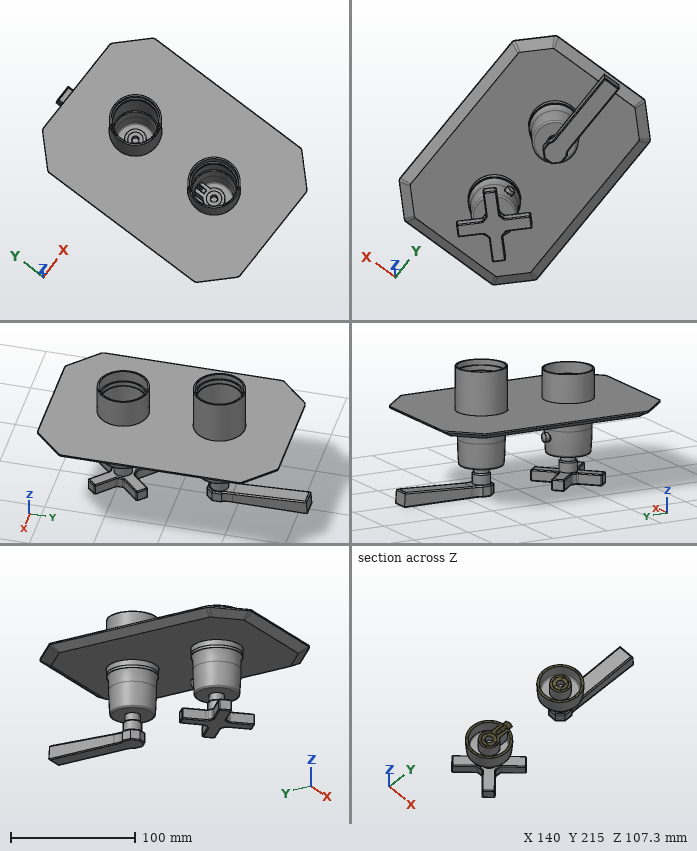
import cadquery as cq
import math


OVERALL_LENGTH = 215.0
PLATE_WIDTH = 140.0
PLATE_LENGTH = 200.0
PLATE_THICKNESS = 6.0
PLATE_CORNER_CUT = 25.0
PLATE_CORNER_RADIUS = 4.3
PLATE_BOTTOM_CORNER_RADIUS = 2.1
PLATE_RIM = 1.3
PLATE_BEVEL_INSET = 8.5

VALVE_OFFSET = 40.0
LEVER_VALVE_Y = VALVE_OFFSET
CROSS_VALVE_Y = -VALVE_OFFSET

SLEEVE_RADIUS = 21.0
SLEEVE_CLEARANCE = 0.2
SLEEVE_BOTTOM = -10.5
SLEEVE_BORE_RADIUS = 19.1
SLEEVE_MOUTH_RADIUS = 19.8
SLEEVE_LIP_RADIUS = 18.5
SLEEVE_LIP_HEIGHT = 4.3
LEVER_SLEEVE_TOP = 36.3
LEVER_MOUTH_DEPTH = 4.5
CROSS_SLEEVE_TOP = 24.0
CROSS_MOUTH_DEPTH = 9.5

SKIRT_FLANGE_BOTTOM = -12.7
SKIRT_NECK_RADIUS = 20.6
SKIRT_FLARE_DIRECTION = (-0.4, -1.0)
SKIRT_WAIST_Z = -24.0
SKIRT_WAIST_RADIUS = 19.3
SKIRT_BASE_RADIUS = 18.3
SKIRT_BOTTOM = -46.0
SKIRT_BOTTOM_FILLET = 1.5
SKIRT_FLOOR = 3.2
SKIRT_FLOOR_Z = SKIRT_BOTTOM + SKIRT_FLOOR
SKIRT_TOP_BORE = 18.0
SKIRT_WAIST_BORE = 17.0
SKIRT_FLOOR_BORE = 16.3
SKIRT_FLOOR_FILLET = 0.9
BOSS_RADIUS = 8.8
BOSS_TOP = -31.0

STEM_RADIUS = 6.2
STEM_COLLAR_RADIUS = 7.5
STEM_COLLAR_TOP = -52.0
STEM_COLLAR_CHAMFER = 1.0
STEM_HOLE_RADIUS = 3.0
STEM_HOLE_DEPTH = 6.5

HANDLE_TOP = -61.2
HANDLE_BOTTOM = -71.0
HANDLE_HEIGHT = HANDLE_TOP - HANDLE_BOTTOM
HANDLE_CHAMFER = 0.9
LEVER_TOP_CHAMFER = 1.0
HUB_SIDES = 8
CROSS_HUB_ACROSS_FLATS = 20.6
CROSS_TURN = 45
ARM_WIDTH = 10.7
ARM_REACH = 30.0
ARM_ROOT_FILLET = 2.1
LEVER_HUB_ACROSS_FLATS = 18.7
LEVER_WIDTH = 14.8
LEVER_REACH = OVERALL_LENGTH - PLATE_LENGTH / 2 - LEVER_VALVE_Y
LEVER_BLEND_Y = 13.0
LEVER_BLEND_DIRECTION = (-1.0, -0.5)
LEVER_RISE = 2.8
LEVER_TIP_LEAN = 0.9

BUTTON_Z = -31.0
BUTTON_RADIUS = 3.9
BUTTON_SEAT_Y = 18.0
BUTTON_TIP_Y = 23.6
BUTTON_DOME_HEIGHT = 1.3
PIN_RADIUS = 1.7
COLLAR_START_Y = 12.2
COLLAR_LENGTH = 3.9
COLLAR_RECESS = 1.5
COLLAR_RECESS_DEPTH = 0.9
GUIDE_WIDTH = 9.7


def at_valve(shape, valve_y):
    return shape.translate((0, valve_y, 0))


def cylinder(radius, bottom, top):
    return cq.Workplane("XY").workplane(offset=bottom).circle(radius).extrude(top - bottom)


def plate_slab(inset, corner_radius, thickness):
    return (
        cq.Workplane("XY")
        .rect(PLATE_WIDTH - 2 * inset, PLATE_LENGTH - 2 * inset)
        .extrude(-thickness)
        .edges("|Z")
        .chamfer(PLATE_CORNER_CUT - inset * (2 - math.sqrt(2)))
        .edges("|Z")
        .fillet(corner_radius)
    )


def make_plate():
    rim = plate_slab(0, PLATE_CORNER_RADIUS, PLATE_RIM)
    core = plate_slab(PLATE_BEVEL_INSET, PLATE_BOTTOM_CORNER_RADIUS, PLATE_THICKNESS)
    bevel_outlines = [rim.faces("<Z").val().outerWire(), core.faces("<Z").val().outerWire()]
    bevel = cq.Workplane(cq.Solid.makeLoft(bevel_outlines, True))
    plate = rim.union(bevel)
    for valve_y in (LEVER_VALVE_Y, CROSS_VALVE_Y):
        hole = cylinder(SLEEVE_RADIUS + SLEEVE_CLEARANCE, -PLATE_THICKNESS, 0)
        plate = plate.cut(at_valve(hole, valve_y))
    return plate


def make_sleeve(top, mouth_depth):
    lip_top = top - mouth_depth
    lip_bottom = lip_top - SLEEVE_LIP_HEIGHT
    return (
        cylinder(SLEEVE_RADIUS, SLEEVE_BOTTOM, top)
        .cut(cylinder(SLEEVE_MOUTH_RADIUS, lip_top, top))
        .cut(cylinder(SLEEVE_LIP_RADIUS, lip_bottom, lip_top))
        .cut(cylinder(SLEEVE_BORE_RADIUS, SLEEVE_BOTTOM, lip_bottom))
    )


def make_skirt():
    outside = (
        cq.Workplane("XZ")
        .moveTo(0, SLEEVE_BOTTOM)
        .lineTo(SLEEVE_RADIUS, SLEEVE_BOTTOM)
        .lineTo(SLEEVE_RADIUS, SKIRT_FLANGE_BOTTOM)
        .lineTo(SKIRT_NECK_RADIUS, SKIRT_FLANGE_BOTTOM)
        .spline(
            [(SKIRT_WAIST_RADIUS, SKIRT_WAIST_Z)],
            tangents=[SKIRT_FLARE_DIRECTION, (0, -1)],
            includeCurrent=True,
        )
        .tangentArcPoint((SKIRT_BASE_RADIUS, SKIRT_BOTTOM), relative=False)
        .lineTo(0, SKIRT_BOTTOM)
        .close()
        .revolve(360, (0, 0, 0), (0, 1, 0))
        .faces("<Z")
        .edges()
        .fillet(SKIRT_BOTTOM_FILLET)
    )
    cavity = (
        cq.Workplane("XZ")
        .moveTo(0, SLEEVE_BOTTOM)
        .lineTo(SKIRT_TOP_BORE, SLEEVE_BOTTOM)
        .lineTo(SKIRT_WAIST_BORE, SKIRT_WAIST_Z)
        .lineTo(SKIRT_FLOOR_BORE, SKIRT_FLOOR_Z)
        .lineTo(0, SKIRT_FLOOR_Z)
        .close()
        .revolve(360, (0, 0, 0), (0, 1, 0))
        .faces("<Z")
        .edges()
        .fillet(SKIRT_FLOOR_FILLET)
    )
    boss = cylinder(BOSS_RADIUS, SKIRT_FLOOR_Z, BOSS_TOP)
    stem_hole = cylinder(STEM_RADIUS, SKIRT_BOTTOM, BOSS_TOP)
    return outside.cut(cavity).union(boss).cut(stem_hole)


def make_button():
    shoulder_y = BUTTON_TIP_Y - BUTTON_DOME_HEIGHT
    dome_radius = (BUTTON_RADIUS**2 + BUTTON_DOME_HEIGHT**2) / (2 * BUTTON_DOME_HEIGHT)
    head = (
        cq.Workplane("XY")
        .workplane(offset=BUTTON_Z)
        .moveTo(0, BUTTON_SEAT_Y)
        .lineTo(BUTTON_RADIUS, BUTTON_SEAT_Y)
        .lineTo(BUTTON_RADIUS, shoulder_y)
        .radiusArc((0, BUTTON_TIP_Y), -dome_radius)
        .close()
        .revolve(360, (0, 0, 0), (0, 1, 0))
    )
    pin_plane = cq.Plane(origin=(0, BOSS_RADIUS, BUTTON_Z), xDir=(1, 0, 0), normal=(0, 1, 0))
    pin = cq.Workplane(pin_plane).circle(PIN_RADIUS).extrude(BUTTON_SEAT_Y - BOSS_RADIUS)
    collar_centre_y = COLLAR_START_Y + COLLAR_LENGTH / 2
    collar = (
        cq.Workplane("XY")
        .box(2 * PIN_RADIUS, COLLAR_LENGTH, 2 * PIN_RADIUS)
        .translate((0, collar_centre_y, BUTTON_Z))
    )
    recess = (
        cq.Workplane("XY")
        .workplane(offset=BUTTON_Z + PIN_RADIUS)
        .center(0, collar_centre_y)
        .rect(COLLAR_RECESS, COLLAR_RECESS)
        .extrude(-COLLAR_RECESS_DEPTH)
    )
    return head.union(pin).union(collar).cut(recess)


def make_button_skirt(button):
    guide_end = (SKIRT_FLOOR_BORE + SKIRT_BASE_RADIUS) / 2
    guide = (
        cq.Workplane("XY")
        .workplane(offset=SKIRT_FLOOR_Z)
        .center(0, guide_end / 2)
        .rect(GUIDE_WIDTH, guide_end)
        .extrude(BUTTON_Z - SKIRT_FLOOR_Z)
        .cut(cylinder(BOSS_RADIUS, SKIRT_FLOOR_Z, BUTTON_Z))
    )
    return make_skirt().union(guide).cut(button)


def make_stem():
    return (
        cylinder(STEM_COLLAR_RADIUS, HANDLE_TOP, STEM_COLLAR_TOP)
        .faces(">Z")
        .chamfer(STEM_COLLAR_CHAMFER)
        .union(cylinder(STEM_RADIUS, STEM_COLLAR_TOP, BOSS_TOP))
        .cut(cylinder(STEM_HOLE_RADIUS, BOSS_TOP - STEM_HOLE_DEPTH, BOSS_TOP))
    )


def is_arm_root(edge):
    return math.hypot(edge.Center().x, edge.Center().y) < ARM_REACH / 2


def make_cross():
    base = cq.Workplane("XY").workplane(offset=HANDLE_BOTTOM)
    hub_across_corners = CROSS_HUB_ACROSS_FLATS / math.cos(math.pi / HUB_SIDES)
    cross = base.polygon(HUB_SIDES, hub_across_corners).extrude(HANDLE_HEIGHT)
    half_side_angle = 180 / HUB_SIDES
    cross = cross.rotate((0, 0, 0), (0, 0, 1), half_side_angle)
    for length, width in ((2 * ARM_REACH, ARM_WIDTH), (ARM_WIDTH, 2 * ARM_REACH)):
        cross = cross.union(base.rect(length, width).extrude(HANDLE_HEIGHT))
    cross = cross.edges("|Z").filter(is_arm_root).fillet(ARM_ROOT_FILLET)
    cross = cross.faces("<X or >X or <Y or >Y").edges("|Z").chamfer(HANDLE_CHAMFER)
    cross = cross.faces("<Z or >Z").edges().chamfer(HANDLE_CHAMFER)
    return cross.rotate((0, 0, 0), (0, 0, 1), CROSS_TURN)


def make_lever():
    half_flats = LEVER_HUB_ACROSS_FLATS / 2
    half_side = half_flats * math.tan(math.pi / HUB_SIDES)
    half_width = LEVER_WIDTH / 2
    tip_top = HANDLE_TOP + LEVER_RISE
    tip_bottom_y = LEVER_REACH + LEVER_TIP_LEAN * HANDLE_CHAMFER / (tip_top - HANDLE_BOTTOM)
    half = (
        cq.Workplane("XY")
        .workplane(offset=HANDLE_BOTTOM)
        .moveTo(0, tip_bottom_y)
        .lineTo(-half_width, tip_bottom_y)
        .lineTo(-half_width, LEVER_BLEND_Y)
        .spline(
            [(-half_flats, half_side)],
            tangents=[(0, -1), LEVER_BLEND_DIRECTION],
            includeCurrent=True,
        )
        .lineTo(-half_flats, -half_side)
        .lineTo(-half_side, -half_flats)
        .lineTo(0, -half_flats)
        .close()
        .extrude(tip_top - HANDLE_BOTTOM)
    )
    side_outline = (
        cq.Workplane("YZ")
        .moveTo(-half_flats, HANDLE_BOTTOM)
        .lineTo(tip_bottom_y, HANDLE_BOTTOM)
        .lineTo(LEVER_REACH - LEVER_TIP_LEAN, tip_top)
        .lineTo(LEVER_BLEND_Y, HANDLE_TOP)
        .lineTo(-half_flats, HANDLE_TOP)
        .close()
        .extrude(half_flats, both=True)
    )
    lever = half.union(half.mirror("YZ")).intersect(side_outline)
    lever = lever.faces("<Z").edges().chamfer(HANDLE_CHAMFER)
    return lever.faces("+Z or >Z").edges().chamfer(LEVER_TOP_CHAMFER)


plate = make_plate()
lever_sleeve = at_valve(make_sleeve(LEVER_SLEEVE_TOP, LEVER_MOUTH_DEPTH), LEVER_VALVE_Y)
cross_sleeve = at_valve(make_sleeve(CROSS_SLEEVE_TOP, CROSS_MOUTH_DEPTH), CROSS_VALVE_Y)
lever_skirt = at_valve(make_skirt(), LEVER_VALVE_Y)
button_at_origin = make_button()
cross_skirt = at_valve(make_button_skirt(button_at_origin), CROSS_VALVE_Y)
button = at_valve(button_at_origin, CROSS_VALVE_Y)
stems = [at_valve(make_stem(), valve_y) for valve_y in (LEVER_VALVE_Y, CROSS_VALVE_Y)]
lever = at_valve(make_lever(), LEVER_VALVE_Y)
cross = at_valve(make_cross(), CROSS_VALVE_Y)

result = cq.Compound.makeCompound([
    plate.val(),
    lever_sleeve.val(),
    cross_sleeve.val(),
    lever_skirt.val(),
    cross_skirt.val(),
    button.val(),
    *[stem.val() for stem in stems],
    lever.val(),
    cross.val(),
])